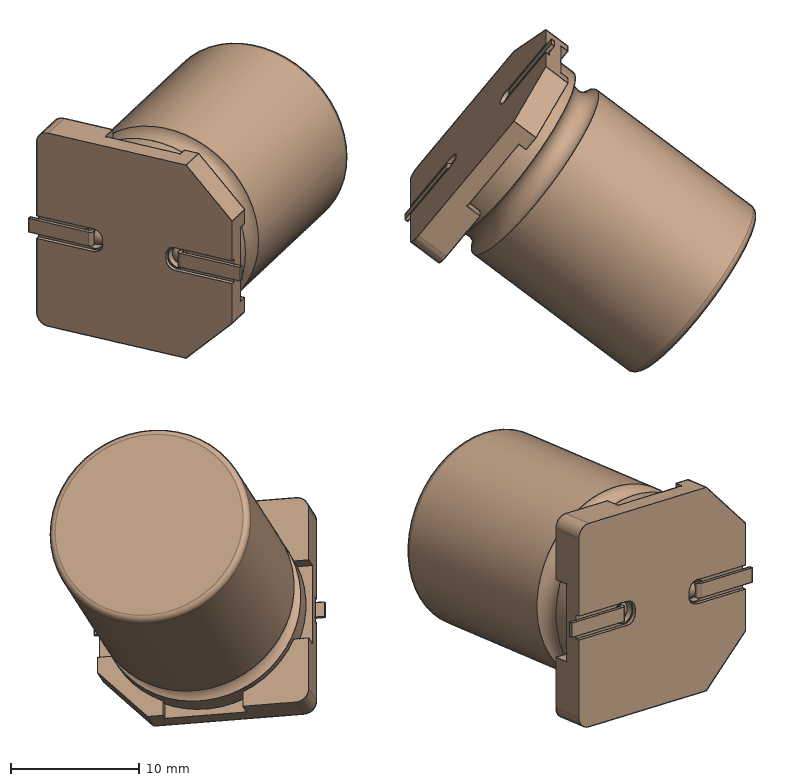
import cadquery as cq
import math

overall_height = 21.5

base_width = 17.0
base_floor = 1.48
tall_post_height = 2.77
short_post_height = 2.2
corner_radius = 1.0
corner_chamfer = 4.0
side_gap_width = 6.5

can_radius = 8.0
can_top_radius = 0.5
groove_bottom = 3.35
groove_top = 5.65
groove_depth = 0.9

terminal_span = 18.4
terminal_width = 1.2
terminal_thickness = 0.3
terminal_bend_radius = 0.28
terminal_inner_x = 3.7
slot_width = 2.0
slot_depth = 0.35
slot_inner_x = 2.75
slot_corner_radius = 0.82
dome_radius = 0.9

half_base = base_width / 2
side_signs = (-1, 1)


def block(x_min, x_max, y_min, y_max, z_width):
    """Box between the given X and Y limits, centred on z = 0."""
    size_x = x_max - x_min
    size_y = y_max - y_min
    centre = ((x_min + x_max) / 2, (y_min + y_max) / 2, 0)
    return cq.Workplane("XY").box(size_x, size_y, z_width).translate(centre)


def y_cylinder(radius, y_min, y_max, x=0):
    """Cylinder along +Y."""
    return cq.Workplane("XZ", origin=(x, y_min, 0)).circle(radius).extrude(y_min - y_max)


def make_terminal(side):
    """L-shaped strip: a foot in the slot and a leg that reaches the can; side is the sign of X."""
    foot = block(terminal_inner_x, terminal_span / 2, 0, terminal_thickness, terminal_width)
    leg_outer_x = terminal_inner_x + terminal_thickness
    leg = block(terminal_inner_x, leg_outer_x, 0, base_floor, terminal_width)
    terminal = foot.union(leg).edges("|Z and <X and <Y").fillet(terminal_bend_radius)
    if side < 0:
        return terminal.mirror("YZ")
    return terminal


def make_terminal_slot(side):
    """Slot with rounded inner corners that runs out of the side, with a round well at its inner end.

    A hemispherical dome stands in the well, its tip level with the slot floor.
    """
    slot = block(slot_inner_x, half_base, 0, slot_depth, slot_width)
    slot = slot.edges("|Y and <X").fillet(slot_corner_radius)
    well_bottom = slot_depth + dome_radius
    well = y_cylinder(dome_radius, slot_depth, well_bottom, terminal_inner_x)
    dome = cq.Workplane("XY").sphere(dome_radius).translate((terminal_inner_x, well_bottom, 0))
    slot = slot.union(well.cut(dome))
    if side < 0:
        return slot.mirror("YZ")
    return slot


def make_base(terminals):
    """Plate with four corner posts around the can, the two on the chamfered corners being lower."""
    base = block(-half_base, half_base, 0, tall_post_height, base_width)
    base = base.edges("|Y and <X").fillet(corner_radius)
    base = base.edges("|Y and >X").chamfer(corner_chamfer)

    base = base.cut(block(0, half_base, short_post_height, tall_post_height, base_width))

    base = base.cut(block(-half_base, half_base, base_floor, tall_post_height, side_gap_width))
    base = base.cut(block(-side_gap_width / 2, side_gap_width / 2, base_floor, tall_post_height, base_width))
    base = base.cut(y_cylinder(can_radius, base_floor, tall_post_height))

    for side in side_signs:
        base = base.cut(make_terminal_slot(side))
    for terminal in terminals:
        base = base.cut(terminal)
    return base


def make_can():
    """Cylinder with a rolled groove near its foot and a rounded top edge, revolved about Y."""
    top_centre_x = can_radius - can_top_radius
    top_centre_y = overall_height - can_top_radius
    top_arc_offset = can_top_radius * math.sqrt(0.5)
    profile = (
        cq.Workplane("XY")
        .moveTo(0, base_floor)
        .lineTo(can_radius, base_floor)
        .lineTo(can_radius, groove_bottom)
        .threePointArc(
            (can_radius - groove_depth, (groove_bottom + groove_top) / 2),
            (can_radius, groove_top),
        )
        .lineTo(can_radius, top_centre_y)
        .threePointArc(
            (top_centre_x + top_arc_offset, top_centre_y + top_arc_offset),
            (top_centre_x, overall_height),
        )
        .lineTo(0, overall_height)
        .close()
    )
    return profile.revolve(360, (0, 0, 0), (0, 1, 0))


terminals = [make_terminal(side) for side in side_signs]
base = make_base(terminals)
can = make_can()

result = cq.Compound.makeCompound([base.val(), can.val(), *[terminal.val() for terminal in terminals]])